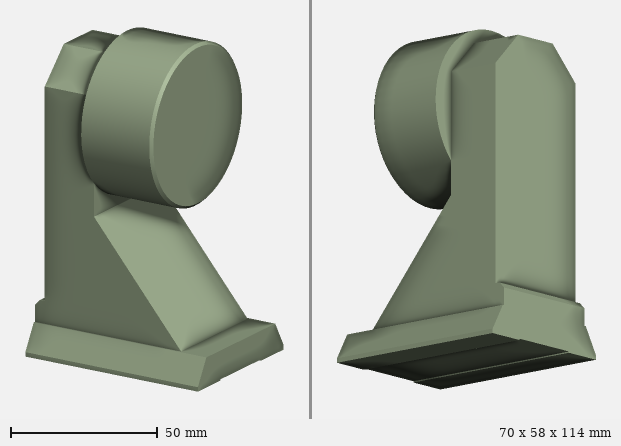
import cadquery as cq
import math

base_length = 70.0
base_width = 54.0
base_height = 10.8
base_edge_height = 1.6
dovetail_angle = 30
relief_width = 25.8
relief_depth = 0.5

column_width = 41.9
column_top = 108.0
column_rear = 4.0
column_front = 23.9
step_top = 19.0
step_chamfer = 2.0
buttress_top = 52.9
buttress_end = 59.3
head_chamfer = 12.0

overall_height = 114
head_diameter = 58.0
head_length = 28.6
head_rim_chamfer = 1.0
head_center_height = overall_height - head_diameter / 2


def make_base():
    """Dovetail bar with a shallow relief along its underside."""
    half_bottom = base_width / 2
    flank_inset = (base_height - base_edge_height) * math.tan(math.radians(dovetail_angle))
    half_top = half_bottom - flank_inset
    half_relief = relief_width / 2
    outline = [
        (-half_bottom, 0),
        (-half_relief, 0),
        (-half_relief, relief_depth),
        (half_relief, relief_depth),
        (half_relief, 0),
        (half_bottom, 0),
        (half_bottom, base_edge_height),
        (half_top, base_height),
        (-half_top, base_height),
        (-half_bottom, base_edge_height),
    ]
    return cq.Workplane("YZ").polyline(outline).close().extrude(base_length)


def make_column():
    """Side profile of the column, extruded across Y, with its top corners cut off."""
    profile = [
        (0, base_edge_height),
        (buttress_end, base_edge_height),
        (buttress_end, base_height),
        (column_front, buttress_top),
        (column_front, column_top),
        (column_rear, column_top),
        (column_rear, step_top),
        (step_chamfer, step_top),
        (0, step_top - step_chamfer),
    ]
    column = cq.Workplane("XZ").polyline(profile).close().extrude(column_width / 2, both=True)
    top_side_edges = column.faces(">Z").edges("|X")
    return top_side_edges.chamfer(head_chamfer)


def make_head():
    """Cylinder along X with a chamfered front rim."""
    return (
        cq.Workplane("YZ", origin=(column_front, 0, head_center_height))
        .circle(head_diameter / 2)
        .extrude(head_length)
        .faces(">X")
        .chamfer(head_rim_chamfer)
    )


result = make_base().union(make_column()).union(make_head())